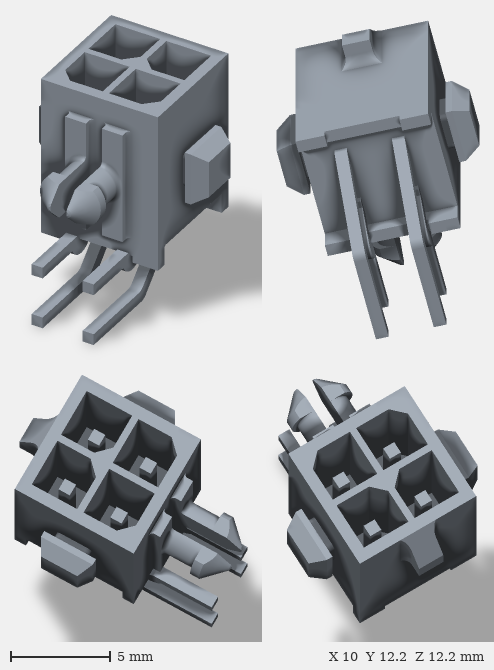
import cadquery as cq
import math

body_side = 6.89
body_height = 9.24
foot_height = 1.15
foot_thickness = 0.65
foot_notch_width = 3.89
foot_notch_height = 0.39

pitch = 3.0
cavity_side = 2.63
cavity_chamfer = 0.71
cavity_depth = 6.61
lead_size = 0.65
pin_recess = 2.2

lead_reach = 3.6
long_pin_bottom = 0.94
long_bend_radius = 0.6
short_pin_bottom = 0.77
short_bend_radius = 0.93
short_bend_inset = 0.18
short_bend_height = 0.37

latch_width = 1.43
latch_reach = 1.27
latch_ramp_drop = 1.82
latch_height = 2.89
flare_run = 0.59
flare_rise = 0.34

peg_height = 4.66
neck_side = 2.0
neck_length = 0.42
neck_fillet = 0.27
head_side = 3.0
head_rim = 0.34
head_taper = 0.8
head_tip_side = 2.1

rib_gap = 0.93
rib_width = 1.22
rib_depth = 0.54
rib_bottom = 1.45
rib_length = 6.41
rib_fillet = 0.22
shaft_radius = 1.0
barb_radius = 1.32
barb_start = 2.33
barb_end = 2.84
tip_rim_radius = 0.25
tip_radius = 0.12
tip_round = 0.06
prong_reach = 4.01

half_side = body_side / 2
front = -half_side
half_pitch = pitch / 2
inner_side = body_side - 2 * foot_thickness
diagonal = math.sqrt(0.5)


def make_housing():
    body = cq.Workplane("XY").box(body_side, body_side, body_height, centered=(True, True, False))
    side_opening = cq.Workplane("XY").box(body_side, inner_side, foot_height, centered=(True, True, False))
    notch = cq.Workplane("XY").box(
        foot_notch_width, body_side, foot_notch_height, centered=(True, True, False)
    )
    return body.cut(side_opening).cut(notch)


def make_cavity(side):
    """Cavity at the origin with one chamfered front corner, on the +X (1) or -X (-1) side."""
    half = cavity_side / 2
    return (
        cq.Workplane("XY")
        .workplane(offset=body_height - cavity_depth)
        .moveTo(-side * half, half)
        .lineTo(side * half, half)
        .lineTo(side * half, cavity_chamfer - half)
        .lineTo(side * (half - cavity_chamfer), -half)
        .lineTo(-side * half, -half)
        .close()
        .extrude(cavity_depth)
    )


def extrude_lead(outline, x):
    return outline.extrude(lead_size / 2, both=True).translate((x, 0, 0))


def make_long_lead(x):
    """Back-row contact: pin, 45 degree run and a tail one pitch below the short lead's tail."""
    pin_back = half_pitch + lead_size / 2
    pin_front = pin_back - lead_size
    pin_top = body_height - pin_recess
    tail_end = front - lead_reach
    tail_bottom = -pitch
    tail_top = tail_bottom + lead_size
    slant_offset = lead_size / diagonal
    bend_outer = pin_back - (long_pin_bottom - tail_bottom)
    bend_inner = pin_back - (long_pin_bottom + slant_offset - tail_top)
    slant_start = long_pin_bottom + slant_offset - lead_size
    outline = (
        cq.Workplane("YZ")
        .moveTo(pin_back, pin_top)
        .lineTo(pin_back, long_pin_bottom)
        .lineTo(bend_outer, tail_bottom)
        .lineTo(tail_end, tail_bottom)
        .lineTo(tail_end, tail_top)
        .lineTo(bend_inner, tail_top)
        .lineTo(pin_front, slant_start)
        .lineTo(pin_front, pin_top)
        .close()
    )
    lead = extrude_lead(outline, x)
    for bend_y, bend_z in ((bend_outer, tail_bottom), (bend_inner, tail_top)):
        at_bend = cq.selectors.NearestToPointSelector((x, bend_y, bend_z))
        lead = lead.edges(at_bend).fillet(long_bend_radius)
    return lead


def make_short_lead(x):
    """Front-row contact: pin, 45 degree run, rounded dip under the front foot and a raised tail."""
    pin_back = -half_pitch + lead_size / 2
    pin_front = pin_back - lead_size
    pin_top = body_height - pin_recess
    tail_end = front - lead_reach
    dip_y = front + short_bend_inset
    dip_bottom = short_bend_height - short_bend_radius
    tangent_y = dip_y + short_bend_radius * diagonal
    tangent_z = short_bend_height - short_bend_radius * diagonal
    slant_offset = lead_size / diagonal
    slant_back = tangent_y + short_pin_bottom - tangent_z
    slant_front = tangent_z + slant_offset + pin_front - tangent_y
    dip_end = dip_y - math.sqrt(short_bend_radius**2 - short_bend_height**2)
    rise_end = dip_end + lead_size * diagonal
    slant_difference = tangent_z + slant_offset - tangent_y
    rise_sum = lead_size + rise_end
    valley_y = (rise_sum - slant_difference) / 2
    valley_z = (rise_sum + slant_difference) / 2
    outline = (
        cq.Workplane("YZ")
        .moveTo(pin_back, pin_top)
        .lineTo(pin_back, short_pin_bottom)
        .lineTo(slant_back, short_pin_bottom)
        .lineTo(tangent_y, tangent_z)
        .threePointArc((dip_y, dip_bottom), (dip_end, 0))
        .lineTo(tail_end, 0)
        .lineTo(tail_end, lead_size)
        .lineTo(rise_end, lead_size)
        .lineTo(valley_y, valley_z)
        .lineTo(pin_front, slant_front)
        .lineTo(pin_front, pin_top)
        .close()
    )
    return extrude_lead(outline, x)


def make_latch():
    """Ramp profile crossed with a plan profile; both flare out where they join the back face."""
    half = latch_width / 2
    back = half_side
    flare_end = back + flare_run
    tip = back + latch_reach
    bottom = body_height - latch_height
    radius = (flare_run**2 + flare_rise**2) / (2 * flare_rise)
    half_angle = math.asin(flare_run / radius) / 2
    mid_y = flare_end - radius * math.sin(half_angle)
    mid_rise = radius * (1 - math.cos(half_angle))
    plan = (
        cq.Workplane("XY")
        .moveTo(-half - flare_rise, back)
        .threePointArc((-half - mid_rise, mid_y), (-half, flare_end))
        .lineTo(-half, tip)
        .lineTo(half, tip)
        .lineTo(half, flare_end)
        .threePointArc((half + mid_rise, mid_y), (half + flare_rise, back))
        .close()
        .extrude(body_height)
    )
    ramp = (
        cq.Workplane("YZ")
        .moveTo(back, body_height)
        .lineTo(tip, body_height - latch_ramp_drop)
        .lineTo(tip, bottom)
        .lineTo(flare_end, bottom)
        .threePointArc((mid_y, bottom - mid_rise), (back, bottom - flare_rise))
        .close()
        .extrude(half_side, both=True)
    )
    return plan.intersect(ramp)


def make_side_peg():
    """Square mushroom peg on the +X face."""
    neck = (
        cq.Workplane("YZ", origin=(half_side, 0, peg_height))
        .rect(neck_side, neck_side)
        .extrude(neck_length)
        .edges("|X")
        .fillet(neck_fillet)
    )
    rim = (
        cq.Workplane("YZ", origin=(half_side + neck_length, 0, peg_height))
        .rect(head_side, head_side)
        .extrude(head_rim)
    )
    taper = (
        cq.Workplane("YZ", origin=(half_side + neck_length + head_rim, 0, peg_height))
        .rect(head_side, head_side)
        .workplane(offset=head_taper)
        .rect(head_tip_side, head_tip_side)
        .loft(ruled=True)
    )
    return neck.union(rim).union(taper)


def make_rib():
    """Rib on the front face, right of centre, with a fillet along both long sides."""
    inner = rib_gap / 2
    outer = inner + rib_width
    arc_drop = rib_fillet * (1 - diagonal)
    return (
        cq.Workplane("XY")
        .workplane(offset=rib_bottom)
        .moveTo(inner - rib_fillet, front)
        .threePointArc((inner - arc_drop, front - arc_drop), (inner, front - rib_fillet))
        .lineTo(inner, front - rib_depth)
        .lineTo(outer, front - rib_depth)
        .lineTo(outer, front - rib_fillet)
        .threePointArc((outer + arc_drop, front - arc_drop), (outer + rib_fillet, front))
        .close()
        .extrude(rib_length)
    )


def make_prong():
    """Half-round shaft with a flattened conical barb, its flat side facing the slot."""
    arc_drop = rib_fillet * (1 - diagonal)
    base_radius = shaft_radius + rib_fillet
    axis_plane = cq.Plane(origin=(rib_gap / 2, front, peg_height), xDir=(0, 0, -1), normal=(1, 0, 0))
    axis_ends = ((0, 0, 0), (0, -1, 0))
    shaft = (
        cq.Workplane(axis_plane)
        .moveTo(0, -rib_depth)
        .lineTo(base_radius, -rib_depth)
        .threePointArc(
            (shaft_radius + arc_drop, -rib_depth - arc_drop), (shaft_radius, -rib_depth - rib_fillet)
        )
        .lineTo(shaft_radius, -barb_start)
        .lineTo(0, -barb_start)
        .close()
        .revolve(180, *axis_ends)
    )
    barb = (
        cq.Workplane(axis_plane)
        .moveTo(0, -barb_start)
        .lineTo(barb_radius, -barb_start)
        .lineTo(barb_radius, -barb_end)
        .lineTo(tip_rim_radius, tip_round - prong_reach)
        .lineTo(tip_radius, -prong_reach)
        .lineTo(0, -prong_reach)
        .close()
        .revolve(180, *axis_ends)
    )
    flats = (
        cq.Workplane("XY")
        .box(body_side, 2 * prong_reach, 2 * shaft_radius)
        .translate((0, front, peg_height))
    )
    return shaft.union(barb.intersect(flats))


def with_mirror(shape):
    """The shape and its mirror image across the centre plane X = 0."""
    return shape.union(shape.mirror("YZ"))


result = make_housing()
for side in (-1, 1):
    result = result.cut(make_cavity(side).translate((side * half_pitch, -half_pitch, 0)))
    result = result.cut(make_cavity(-side).translate((side * half_pitch, half_pitch, 0)))
for side in (-1, 1):
    result = result.union(make_long_lead(side * half_pitch))
    result = result.union(make_short_lead(side * half_pitch))
result = result.union(make_latch())
result = result.union(with_mirror(make_side_peg()))
result = result.union(with_mirror(make_rib().union(make_prong())))